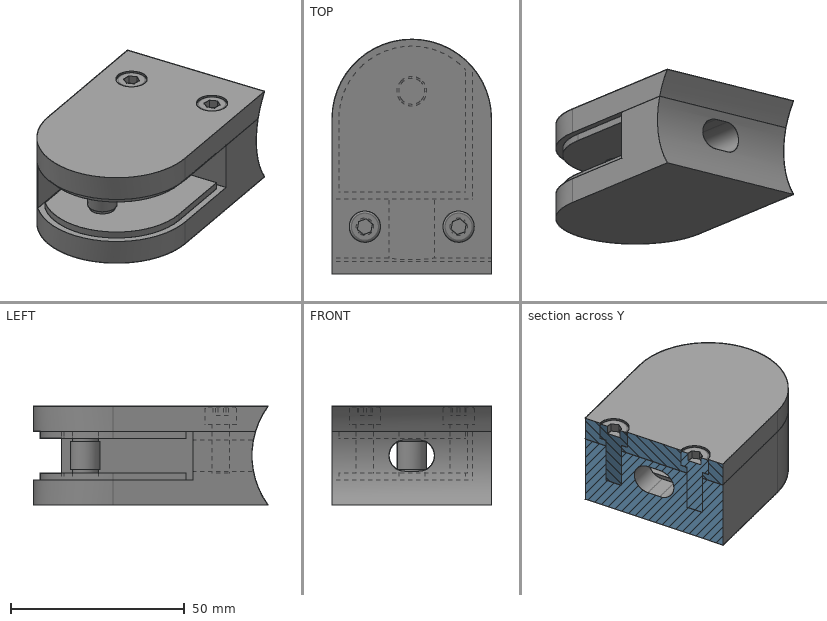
import cadquery as cq
import math

width = 46.0
round_radius = width / 2
height = 28.5
half_height = height / 2
saddle_radius = 24.15
saddle_bottom_y = -40.0
saddle_axis_y = saddle_bottom_y - saddle_radius
block_end_y = saddle_axis_y + math.sqrt(saddle_radius**2 - half_height**2)

slot_height = 14.0
slot_top = slot_height / 2
slot_back_y = -23.0
side_wall_x = 17.5

gasket_thickness = 2.0
gasket_inset = 2.0
gasket_inner_z = slot_top - gasket_thickness

pin_y = 8.0
pin_barrel_diameter = 8.5
pin_barrel_length = 8.0
pin_end_diameter = 7.5

passage_width = 13.0
passage_height = 9.0

screw_spacing = 27.0
screw_y = -31.0
head_diameter = 9.0
head_height = 5.0
head_fillet = 0.6
head_recess = 0.25
shank_diameter = 5.0
shank_depth = 12.0
socket_across_flats = 4.0
socket_depth = 2.5
socket_angle = 20.0
seat_z = half_height - head_recess - head_height
shank_bottom_z = slot_top - shank_depth
screw_points = [(-screw_spacing / 2, screw_y), (screw_spacing / 2, screw_y)]


def d_plate(half_width, right_x, back_y, bottom_z, top_z):
    """Plate with a round +Y end on the origin, cut straight at right_x and back_y."""
    thickness = top_z - bottom_z
    outline = (
        cq.Workplane("XY", origin=(0, 0, bottom_z))
        .moveTo(-half_width, back_y)
        .lineTo(-half_width, 0)
        .threePointArc((0, half_width), (half_width, 0))
        .lineTo(half_width, back_y)
        .close()
        .extrude(thickness)
    )
    kept_width = right_x + half_width
    kept_length = half_width - back_y
    kept = (
        cq.Workplane("XY", origin=(-half_width, back_y, bottom_z))
        .box(kept_width, kept_length, thickness, centered=False)
    )
    return outline.intersect(kept)


def cylinder(x, y, bottom_z, top_z, diameter):
    """Upright cylinder between two heights."""
    return cq.Workplane("XY", origin=(x, y, bottom_z)).circle(diameter / 2).extrude(top_z - bottom_z)


def clamp_layer(bottom_z, top_z):
    """Slice of the clamp outline with the post saddle cut in its -Y end."""
    saddle = (
        cq.Workplane("YZ", origin=(-width / 2, 0, 0))
        .center(saddle_axis_y, 0)
        .circle(saddle_radius)
        .extrude(width)
    )
    return d_plate(round_radius, round_radius, saddle_axis_y, bottom_z, top_z).cut(saddle).solids(">Y")


def make_housing():
    """Lower jaw with the slot walls, the passage and the screw holes."""
    housing = clamp_layer(-half_height, slot_top)
    slot = (
        cq.Workplane("XY", origin=(-round_radius, slot_back_y, -slot_top))
        .box(round_radius + side_wall_x, round_radius - slot_back_y, slot_height, centered=False)
    )
    passage = (
        cq.Workplane("XZ", origin=(0, slot_back_y, 0))
        .slot2D(passage_width, passage_height)
        .extrude(slot_back_y - block_end_y)
    )
    housing = housing.cut(slot).cut(passage)
    for x, y in screw_points:
        housing = housing.cut(cylinder(x, y, shank_bottom_z, slot_top, shank_diameter))
    return housing


def make_cover():
    """Upper jaw plate with counterbored screw holes."""
    cover = clamp_layer(slot_top, half_height)
    for x, y in screw_points:
        cover = cover.cut(cylinder(x, y, slot_top, seat_z, shank_diameter))
        cover = cover.cut(cylinder(x, y, seat_z, half_height, head_diameter))
    return cover


def make_gasket(bottom_z):
    """Pad set in from the slot edges and walls, with a hole for the pin end."""
    top_z = bottom_z + gasket_thickness
    pad = d_plate(
        round_radius - gasket_inset,
        side_wall_x - gasket_inset,
        slot_back_y + gasket_inset,
        bottom_z,
        top_z,
    )
    return pad.cut(cylinder(0, pin_y, bottom_z, top_z, pin_end_diameter))


def make_pin():
    """Pin with a thicker barrel between the gaskets and ends resting on the jaws."""
    core = cylinder(0, pin_y, -slot_top, slot_top, pin_end_diameter)
    barrel = cylinder(0, pin_y, -pin_barrel_length / 2, pin_barrel_length / 2, pin_barrel_diameter)
    return core.union(barrel)


def make_screw(x, y):
    """Socket head screw with a rounded head edge and a plain shank."""
    head_top_z = seat_z + head_height
    head = cylinder(x, y, seat_z, head_top_z, head_diameter).faces(">Z").fillet(head_fillet)
    socket = (
        cq.Workplane("XY", origin=(x, y, head_top_z))
        .transformed(rotate=(0, 0, socket_angle))
        .polygon(6, socket_across_flats / math.cos(math.pi / 6))
        .extrude(-socket_depth)
    )
    shank = cylinder(x, y, shank_bottom_z, seat_z, shank_diameter)
    return head.cut(socket).union(shank)


housing = make_housing()
cover = make_cover()
gaskets = [make_gasket(bottom_z) for bottom_z in (-slot_top, gasket_inner_z)]
pin = make_pin()
screws = [make_screw(x, y) for x, y in screw_points]

bodies = [housing, cover, *gaskets, pin, *screws]
result = cq.Compound.makeCompound([body.val() for body in bodies])